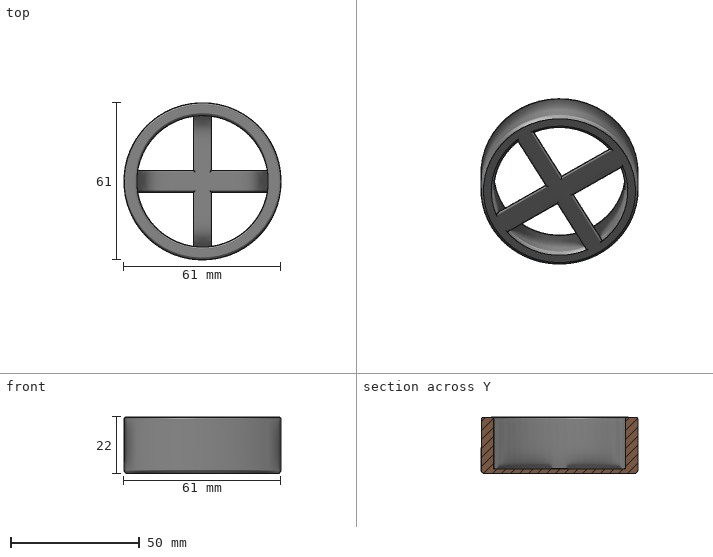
import cadquery as cq

outer_diameter = 61.0
inner_diameter = 51.0
height = 22.0
rim_radius = 1.0
bottom_chamfer = 1.0
chamfer_blend_radius = 1.0

x_bar_width = 8.5
y_bar_width = 7.0
cross_thickness = 2.0
cross_edge_radius = 0.7

outer_radius = outer_diameter / 2
inner_radius = inner_diameter / 2
bar_end_overlap = 2.0
bar_length = inner_diameter + 2 * bar_end_overlap


def make_ring():
    """Tube with rounded top edges, and bottom chamfers blended into both walls."""
    tube = cq.Workplane("XY").circle(outer_radius).circle(inner_radius).extrude(height)
    tube = tube.faces(">Z").edges().fillet(rim_radius)
    tube = tube.faces("<Z").edges().chamfer(bottom_chamfer)
    blend_band = cq.selectors.BoxSelector(
        (-outer_diameter, -outer_diameter, bottom_chamfer / 2),
        (outer_diameter, outer_diameter, bottom_chamfer * 2),
    )
    chamfer_tops = tube.edges("%CIRCLE").edges(blend_band)
    return chamfer_tops.fillet(chamfer_blend_radius)


def make_cross():
    """Two crossing bars with rounded long edges, ending inside the ring wall."""
    x_bar = cq.Workplane("XY").rect(bar_length, x_bar_width).extrude(cross_thickness)
    y_bar = cq.Workplane("XY").rect(y_bar_width, bar_length).extrude(cross_thickness)
    return x_bar.union(y_bar).faces("<Z or >Z").edges().fillet(cross_edge_radius)


result = make_ring().union(make_cross())